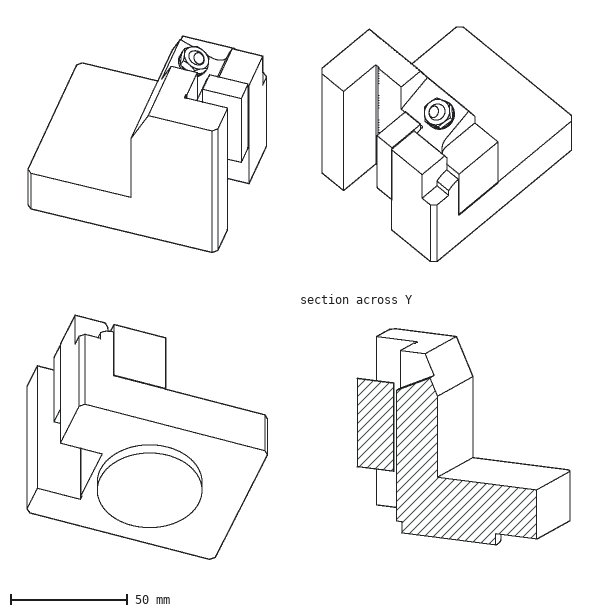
import cadquery as cq
import math

length = 86.0
width = 69.7
height = 75.0
base_height = 22.0
corner_chamfer = 2.0

wall_x = 47.2
slope_angle = 25.0
slope_start_z = 58.05
slope_tan = math.tan(math.radians(slope_angle))
wall_top_x = wall_x + (height - slope_start_z) * slope_tan

spigot_diameter = 45.0
spigot_height = 5.0
spigot_x = 42.0
spigot_y = 35.0

slot_x = 66.9
slot_y_min = 15.1
slot_y_max = 44.0
relief_depth = 0.5
relief_width = 2.0

seat_y_min = 31.05
seat_left_x = 50.8
seat_right_x = 70.35
seat_left_z = slope_start_z + (seat_left_x - wall_x) / slope_tan
seat_right_z = seat_left_z - (seat_right_x - seat_left_x) * slope_tan

shelf_z = 60.6
shelf_left_x = seat_right_x + (shelf_z - seat_right_z) * slope_tan
shelf_y_max = 62.6

step_z = 53.1
step_y = 56.0
step_x = 70.95
step_radius = 6.3
step_overhang = 0.35
drop_start_z = 48.8
drop_length = 5.9
drop_radius = 8.4
drop_floor_z = 42.8
drop_end_z = drop_start_z - drop_radius + math.sqrt(drop_radius**2 - drop_length**2)

jaw_x_min = 68.1
jaw_x_max = 85.6
jaw_y_min = 34.8
jaw_top_z = 61.4

nut_x = 59.1
nut_y = 47.0
nut_corner_diameter = 13.1
nut_height = 5.1
nut_face_diameter = 11.35
nut_chamfer_height = 0.6
nut_turn = -15.0
flange_diameter = 12.55
flange_height = 1.2

ball_radius = 3.95
ball_rim_diameter = 7.2
ball_depth = math.sqrt(ball_radius**2 - (ball_rim_diameter / 2) ** 2)
flat_diameter = 5.0
flat_distance = math.sqrt(ball_radius**2 - (flat_diameter / 2) ** 2)
flat_extra_tilt = 16.0
flat_side_tilt = 12.6

embed = 0.9


def box(x_min, x_max, y_min, y_max, z_min, z_max):
    """Axis-aligned box between the given limits."""
    return cq.Workplane("XY").box(
        x_max - x_min, y_max - y_min, z_max - z_min, centered=False
    ).translate((x_min, y_min, z_min))


def prism_along_y(outline, y_min, y_max):
    """Prism whose XZ outline runs from y_min to y_max."""
    return (
        cq.Workplane("XZ", origin=(0, y_min, 0))
        .polyline(outline).close().extrude(y_min - y_max)
    )


def make_block():
    """L-shaped block with chamfered upright corners."""
    profile = [
        (0, 0), (length, 0), (length, height), (wall_top_x, height),
        (wall_x, slope_start_z), (wall_x, base_height), (0, base_height),
    ]
    outer_corners = box(0, length, 0, width, 0, height).edges("|Z").chamfer(corner_chamfer)
    return prism_along_y(profile, 0, width).intersect(outer_corners)


def make_spigot():
    """Round locating spigot below the base."""
    return (
        cq.Workplane("XY").center(spigot_x, spigot_y)
        .circle(spigot_diameter / 2).extrude(-spigot_height)
    )


def cut_seat(body):
    """Remove the material above the tilted seat and the shelf."""
    outline = [
        (wall_x, height), (wall_x, seat_left_z + (seat_left_x - wall_x) * slope_tan),
        (seat_right_x, seat_right_z), (shelf_left_x, shelf_z),
        (length, shelf_z), (length, height),
    ]
    return body.cut(prism_along_y(outline, seat_y_min, width))


def cut_low_step(body):
    """Lower the +Y corner: flat step with a rounded inner corner, then a drop with a rounded floor."""
    step = (
        cq.Workplane("XY", origin=(0, 0, step_z))
        .moveTo(wall_x, step_y)
        .lineTo(step_x - step_radius, step_y)
        .radiusArc((step_x, step_y + step_radius), -step_radius)
        .lineTo(step_x, width).lineTo(wall_x, width).close()
        .extrude(height - step_z)
    )
    drop = (
        cq.Workplane("XZ", origin=(0, shelf_y_max, 0))
        .moveTo(step_x, height).lineTo(step_x, drop_start_z)
        .radiusArc((step_x + drop_length, drop_end_z), drop_radius)
        .lineTo(step_x + drop_length, drop_floor_z)
        .lineTo(length, drop_floor_z).lineTo(length, height).close()
        .extrude(shelf_y_max - width)
    )
    lip = box(wall_x, step_x, width - embed, width + step_overhang, base_height, step_z)
    return body.cut(step).cut(drop).union(lip)


def cut_slot(body):
    """Cut the full-height slot and its corner relief."""
    slot = box(slot_x, length, slot_y_min, slot_y_max, 0, height)
    relief = box(
        slot_x - relief_depth, slot_x, slot_y_min, slot_y_min + relief_width, 0, height
    )
    return body.cut(slot).cut(relief)


def make_jaw():
    """Jaw standing just above the shelf, reaching down to the level of the base top."""
    return box(jaw_x_min, jaw_x_max, jaw_y_min, slot_y_max, base_height, jaw_top_z)


def make_ball():
    """Ball with one flat, centred at the origin; the nut axis is Z."""
    ball = cq.Workplane("XY").sphere(ball_radius)
    keep = (
        cq.Workplane("XY", origin=(0, 0, -ball_radius))
        .circle(ball_radius).extrude(ball_radius + flat_distance)
        .rotate((0, 0, 0), (1, 0, 0), flat_side_tilt)
        .rotate((0, 0, 0), (0, 1, 0), flat_extra_tilt)
    )
    return ball.intersect(keep)


def make_nut():
    """Hexagon nut with a chamfered top and round flange, tilted onto the seat."""
    hexagon = (
        cq.Workplane("XY").polygon(6, nut_corner_diameter).extrude(nut_height)
        .rotate((0, 0, 0), (0, 0, 1), nut_turn)
    )
    corner_radius = nut_corner_diameter / 2
    turned_envelope = (
        cq.Workplane("XZ")
        .polyline([
            (0, flange_height), (corner_radius, flange_height),
            (corner_radius, nut_height - nut_chamfer_height),
            (nut_face_diameter / 2, nut_height), (0, nut_height),
        ])
        .close().revolve(360, (0, 0), (0, 1))
    )
    flange = (
        cq.Workplane("XY", origin=(0, 0, -embed))
        .circle(flange_diameter / 2).extrude(flange_height + embed)
    )
    ball = make_ball().translate((0, 0, nut_height - ball_depth))
    nut_z = seat_left_z - (nut_x - seat_left_x) * slope_tan
    return (
        hexagon.intersect(turned_envelope).union(flange).union(ball)
        .rotate((0, 0, 0), (0, 1, 0), slope_angle)
        .translate((nut_x, nut_y, nut_z))
    )


body = make_block().union(make_spigot())
body = cut_seat(body)
body = cut_low_step(body)
body = cut_slot(body)
result = body.union(make_jaw()).union(make_nut())